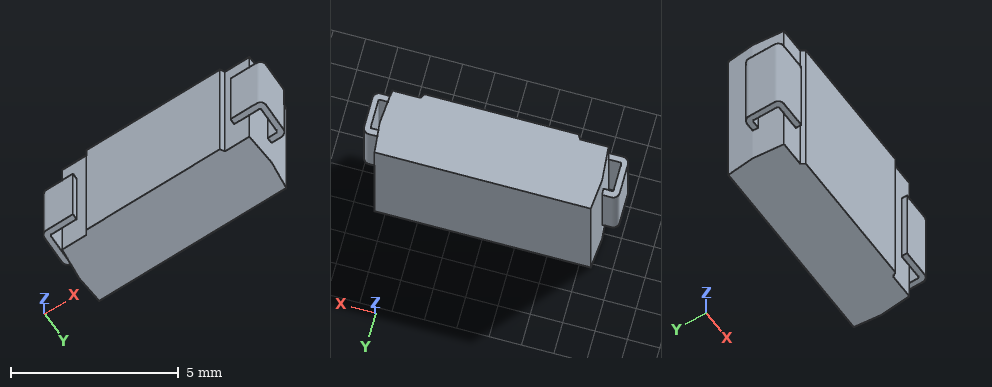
import cadquery as cq

total_width = 7.9
total_depth = 2.26
body_height = 5.9

body_offset = -0.02
parting_width = 6.87
face_width = 6.68
pad_base_width = 4.945
pad_face_width = 4.77
parting_depth = 0.94
shoulder_depth = 2.01
pad_depth = 2.15

lead_height = 3.0
lead_thickness = 0.2
outer_bend_radius = 0.2
inner_bend_radius = 0.05
foot_length = 1.14

back_y = total_depth / 2
mount_y = -total_depth / 2
parting_y = back_y - parting_depth
shoulder_y = back_y - shoulder_depth
pad_y = back_y - pad_depth


def make_body():
    """Extrude the symmetric body outline along Z."""
    right_side = [
        (face_width / 2, back_y),
        (parting_width / 2, parting_y),
        (face_width / 2, shoulder_y),
        (pad_base_width / 2, shoulder_y),
        (pad_face_width / 2, pad_y),
    ]
    left_side = [(-x, y) for x, y in reversed(right_side)]
    outline = cq.Workplane("XY").polyline(right_side + left_side).close()
    body = outline.extrude(body_height / 2, both=True)
    return body.translate((body_offset, 0, 0))


def make_right_lead():
    """Bent strip leaving the body at the parting plane and folding under it."""
    outer_x = total_width / 2
    inner_x = outer_x - lead_thickness
    foot_x = outer_x - foot_length
    root_x = foot_x
    outline = [
        (root_x, parting_y),
        (outer_x, parting_y),
        (outer_x, mount_y),
        (foot_x, mount_y),
        (foot_x, mount_y + lead_thickness),
        (inner_x, mount_y + lead_thickness),
        (inner_x, parting_y - lead_thickness),
        (root_x, parting_y - lead_thickness),
    ]
    lead = cq.Workplane("XY").polyline(outline).close().extrude(lead_height / 2, both=True)
    lead = lead.edges("|Z and >X").fillet(outer_bend_radius)
    inner_corners = cq.selectors.BoxSelector(
        (inner_x - inner_bend_radius, mount_y, -lead_height),
        (inner_x + inner_bend_radius, parting_y, lead_height),
    )
    return lead.edges("|Z").edges(inner_corners).fillet(inner_bend_radius)


right_lead = make_right_lead()
left_lead = right_lead.mirror("YZ")
result = make_body().union(right_lead).union(left_lead)